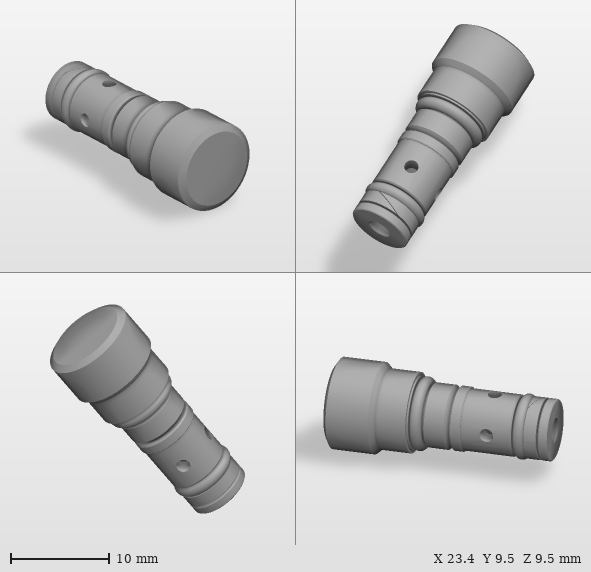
import cadquery as cq
import math


LENGTH = 23.42
INLET_RIM_END = 1.0
SEAL_GROOVE_END = 3.82
BARREL_END = 9.15
COLLAR_END = 10.33
RELIEF_CONE_START = 10.4
RELIEF_CONE_END = 10.87
REAR_GROOVE_START = 13.25
REAR_GROOVE_END = 14.55
SHOULDER_START = 14.7
HEAD_CONE_START = 17.92
HEAD_CONE_END = 18.53
END_CHAMFER_START = 22.98

BARREL_RADIUS = 3.2
COLLAR_RADIUS = 3.35
RELIEF_RADIUS = 2.79
STEP_RADIUS = 3.85
SHOULDER_RADIUS = 4.2
HEAD_RADIUS = 4.75
END_RADIUS = 4.03
SEAL_GROOVE_RADIUS = 2.25

INLET_CHAMFER = 0.1
GROOVE_CHAMFER = 0.15
COLLAR_CHAMFER = 0.1
LAND_CHAMFER = 0.28

BORE_RADIUS = 1.22
BORE_CHAMFER = 0.07
PORT_RADIUS = 0.73
PORT_X = 6.4
PORT_COUNT = 4
BALL_RADIUS = 1.5

CORD_RADIUS = 0.63
FRONT_RING_X = 3.1
REAR_RING_X = 13.9
FRONT_RING_OUTER_RADIUS = 3.4
REAR_RING_OUTER_RADIUS = 3.85
FRONT_RING_MID_RADIUS = FRONT_RING_OUTER_RADIUS - CORD_RADIUS
REAR_RING_MID_RADIUS = REAR_RING_OUTER_RADIUS - CORD_RADIUS
REAR_GROOVE_RADIUS = REAR_RING_MID_RADIUS - CORD_RADIUS

BACKUP_START = 1.17
BACKUP_END = FRONT_RING_X - CORD_RADIUS
SPLIT_SPAN = 2.95
SPLIT_WIDTH = 0.07


def revolve_about_axis(outline):
    """Full turn of an (x, radius) outline about the X axis."""
    return cq.Workplane("XY").polyline(outline).close().revolve(360, (0, 0, 0), (1, 0, 0))


def housing_body():
    """Turned shape of the housing, before its holes are cut."""
    outline = [
        (0, 0),
        (0, BARREL_RADIUS - INLET_CHAMFER),
        (INLET_CHAMFER, BARREL_RADIUS),
        (INLET_RIM_END - GROOVE_CHAMFER, BARREL_RADIUS),
        (INLET_RIM_END, BARREL_RADIUS - GROOVE_CHAMFER),
        (INLET_RIM_END, SEAL_GROOVE_RADIUS),
        (SEAL_GROOVE_END, SEAL_GROOVE_RADIUS),
        (SEAL_GROOVE_END, BARREL_RADIUS - GROOVE_CHAMFER),
        (SEAL_GROOVE_END + GROOVE_CHAMFER, BARREL_RADIUS),
        (BARREL_END, BARREL_RADIUS),
        (BARREL_END, COLLAR_RADIUS - COLLAR_CHAMFER),
        (BARREL_END + COLLAR_CHAMFER, COLLAR_RADIUS),
        (COLLAR_END - GROOVE_CHAMFER, COLLAR_RADIUS),
        (COLLAR_END, COLLAR_RADIUS - GROOVE_CHAMFER),
        (COLLAR_END, RELIEF_RADIUS),
        (RELIEF_CONE_START, RELIEF_RADIUS),
        (RELIEF_CONE_END, COLLAR_RADIUS),
        (REAR_GROOVE_START - LAND_CHAMFER, COLLAR_RADIUS),
        (REAR_GROOVE_START, COLLAR_RADIUS - LAND_CHAMFER),
        (REAR_GROOVE_START, REAR_GROOVE_RADIUS),
        (REAR_GROOVE_END, REAR_GROOVE_RADIUS),
        (REAR_GROOVE_END, STEP_RADIUS),
        (SHOULDER_START, STEP_RADIUS),
        (SHOULDER_START, SHOULDER_RADIUS),
        (HEAD_CONE_START, SHOULDER_RADIUS),
        (HEAD_CONE_END, HEAD_RADIUS),
        (END_CHAMFER_START, HEAD_RADIUS),
        (LENGTH, END_RADIUS),
        (LENGTH, 0),
    ]
    return revolve_about_axis(outline)


def closing_ball():
    """Ball-shaped part of the housing that closes the bore at the ports."""
    return cq.Workplane("XY", origin=(PORT_X, 0, 0)).sphere(BALL_RADIUS)


def add_bore(body):
    """Countersunk inlet bore that stops on the closing ball."""
    outline = [
        (0, 0),
        (0, BORE_RADIUS + BORE_CHAMFER),
        (BORE_CHAMFER, BORE_RADIUS),
        (PORT_X, BORE_RADIUS),
        (PORT_X, 0),
    ]
    bore = revolve_about_axis(outline)
    return body.cut(bore.cut(closing_ball()))


def add_ports(body):
    """Radial ports, evenly spaced, that stop on the closing ball."""
    for i in range(PORT_COUNT):
        port = (
            cq.Workplane("XY", origin=(PORT_X, 0, 0))
            .circle(PORT_RADIUS)
            .extrude(BARREL_RADIUS)
            .rotate((0, 0, 0), (1, 0, 0), 360 * i / PORT_COUNT)
        )
        body = body.cut(port.cut(closing_ball()))
    return body


def o_ring(x, mid_radius):
    """Torus around the X axis with the common cord radius."""
    cord = cq.Workplane("XY").center(x, mid_radius).circle(CORD_RADIUS)
    return cord.revolve(360, (0, -mid_radius, 0), (1, -mid_radius, 0))


def backup_ring():
    """Flat ring beside the front O-ring, opened on one side by a slanted slit."""
    width = BACKUP_END - BACKUP_START
    ring = (
        cq.Workplane("YZ", origin=(BACKUP_START, 0, 0))
        .circle(BARREL_RADIUS)
        .circle(SEAL_GROOVE_RADIUS)
        .extrude(width)
    )
    slit_length = 2 * math.hypot(width, SPLIT_SPAN)
    slit = (
        cq.Workplane("XY")
        .box(slit_length, SPLIT_WIDTH, BARREL_RADIUS, centered=(True, True, False))
        .rotate((0, 0, 0), (0, 0, 1), math.degrees(math.atan2(SPLIT_SPAN, width)))
        .translate((BACKUP_START + width / 2, 0, 0))
    )
    return ring.cut(slit)


front_o_ring = o_ring(FRONT_RING_X, FRONT_RING_MID_RADIUS)
rear_o_ring = o_ring(REAR_RING_X, REAR_RING_MID_RADIUS)
split_backup_ring = backup_ring()
housing = add_ports(add_bore(housing_body())).cut(front_o_ring)

result = cq.Compound.makeCompound([
    housing.val(),
    front_o_ring.val(),
    rear_o_ring.val(),
    split_backup_ring.val(),
])